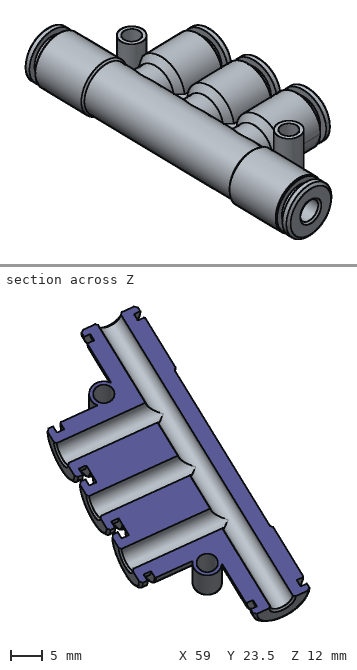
import cadquery as cq

total_length = 59.0
run_radius = 4.85

port_radius = 5.2
port_edge_chamfer = 0.2
collar_radius = 5.1
collar_face_radius = 4.55
collar_chamfer_length = 0.4
collar_thickness = 1.3
neck_length = 1.25
bore_radius = 2.0
bore_chamfer = 0.35

end_port_length = 10.45
end_neck_radius = 3.95

branch_count = 3
branch_pitch = 11.0
branch_tip = 18.3
branch_port_length = 8.55
branch_cone_length = 1.25
branch_stem_radius = 4.0
branch_neck_radius = 3.8

web_thickness = 1.0

lug_radius = 2.35
lug_hole_radius = 1.65
lug_height = 12.0
lug_x = 17.5
lug_y = 7.15

end_x = total_length / 2
branch_port_end = branch_tip - collar_thickness - neck_length
branch_span = branch_pitch * (branch_count - 1)
branch_positions = [i * branch_pitch - branch_span / 2 for i in range(branch_count)]
lug_positions = (-lug_x, lug_x)


def turned(profile):
    """Solid of revolution about the Y axis from (radius, y) points."""
    return cq.Workplane("XY").polyline(profile).close().revolve(360, (0, 0), (0, 1))


def fitting(tip, port_length, stem_radius, taper_length, neck_radius):
    """Solid port around +Y: stem from the origin, taper, port body, neck and collar ending at y = tip."""
    neck_end = tip - collar_thickness
    port_end = neck_end - neck_length
    port_start = port_end - port_length
    profile = [
        (0, 0),
        (stem_radius, 0),
        (stem_radius, port_start - taper_length),
        (port_radius, port_start),
        (port_radius, port_end - port_edge_chamfer),
        (port_radius - port_edge_chamfer, port_end),
        (neck_radius, port_end),
        (neck_radius, neck_end),
        (collar_radius, neck_end),
        (collar_radius, tip - collar_chamfer_length),
        (collar_face_radius, tip),
        (0, tip),
    ]
    return turned(profile)


def bore(tip):
    """Bore around +Y from the origin to y = tip, with a chamfered mouth."""
    mouth_radius = bore_radius + bore_chamfer
    profile = [(0, 0), (bore_radius, 0), (bore_radius, tip - bore_chamfer), (mouth_radius, tip), (0, tip)]
    return turned(profile)


def on_run_ends(shape):
    """Copies of a +Y shape turned to the -X and +X ends of the run."""
    return [shape.rotate((0, 0, 0), (0, 0, 1), angle) for angle in (90, -90)]


def on_branches(shape):
    """Copies of a +Y shape at each branch position."""
    return [shape.translate((x, 0, 0)) for x in branch_positions]


def lug_cylinder(x, radius):
    """Full-height cylinder along Z on a lug axis."""
    bottom = cq.Workplane("XY").workplane(offset=-lug_height / 2)
    return bottom.center(x, lug_y).circle(radius).extrude(lug_height)


def web_plate(half_width, top):
    """Plate in the XY plane from the run axis up to y = top."""
    return cq.Workplane("XY").box(2 * half_width, top, web_thickness).translate((0, top / 2, 0))


run_taper = port_radius - run_radius
run_end = fitting(end_x, end_port_length, run_radius, run_taper, end_neck_radius)
branch = fitting(
    branch_tip, branch_port_length, branch_stem_radius, branch_cone_length, branch_neck_radius
)

body = web_plate(branch_span / 2, branch_port_end).union(web_plate(lug_x, lug_y))
for part in on_run_ends(run_end) + on_branches(branch):
    body = body.union(part)
for x in lug_positions:
    body = body.union(lug_cylinder(x, lug_radius))

for passage in on_run_ends(bore(end_x)) + on_branches(bore(branch_tip)):
    body = body.cut(passage)
for x in lug_positions:
    body = body.cut(lug_cylinder(x, lug_hole_radius))

result = body